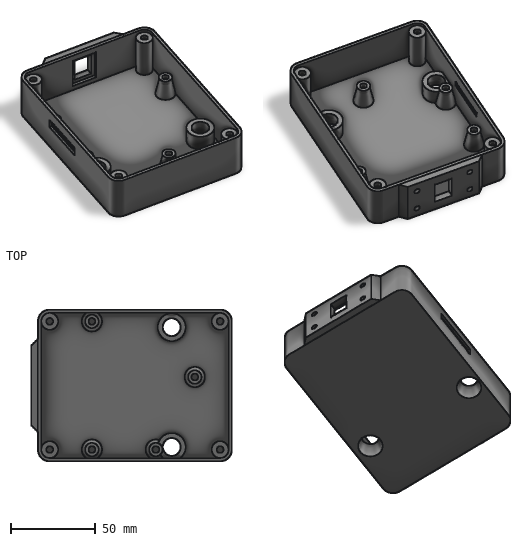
import cadquery as cq

OVERALL_LENGTH = 119.0
HOUSING_WIDTH = 90.0
HEIGHT = 28.0
WALL = 2.0
FLOOR = 1.0
CORNER_RADIUS = 7.0

BLOCK_THICKNESS = 4.0
BLOCK_BASE_WIDTH = 55.1
BLOCK_FACE_WIDTH = BLOCK_BASE_WIDTH - 2 * BLOCK_THICKNESS
WINDOW_WIDTH = 11.2
WINDOW_HEIGHT = 14.8
BLOCK_HOLE_DIAMETER = 3.5
BLOCK_HOLE_SPACING_Y = 34.9
BLOCK_HOLE_SPACING_Z = 15.0
WALL_OPENING_MARGIN = 2.4

POST_DIAMETER = 2 * (CORNER_RADIUS - WALL)
POST_DROP = 2.0
POST_TOP_Z = HEIGHT - POST_DROP
SCREW_HOLE_DIAMETER = 4.0

STANDOFF_BASE_DIAMETER = 12.0
STANDOFF_COLLAR_DIAMETER = 8.0
STANDOFF_CONE_TOP_Z = 11.0
STANDOFF_TOP_Z = 13.7
STANDOFF_LEFT_X = 36.0
STANDOFF_MIDDLE_X = 73.9
STANDOFF_RIGHT_X = 97.0
STANDOFF_RIGHT_Y = 5.0

BOSS_DIAMETER = 16.5
BOSS_HOLE_DIAMETER = 10.5
BOSS_TOP_Z = 11.0
BOSS_STRAIGHT_DEPTH = 4.0
BOSS_MOUTH_DIAMETER = 14.5
BOSS_X = 83.3
BOSS_YS = (-36.4, 34.5)

SLOT_X = 57.0
SLOT_Z = 17.7
SLOT_LENGTH = 30.0
SLOT_HEIGHT = 5.2
SLOT_BEVEL = 1.0
SLOT_INNER_LENGTH = SLOT_LENGTH - 2 * SLOT_BEVEL
SLOT_INNER_HEIGHT = SLOT_HEIGHT - 2 * SLOT_BEVEL

HOUSING_LENGTH = OVERALL_LENGTH - BLOCK_THICKNESS
HOUSING_LEFT_X = BLOCK_THICKNESS
HOUSING_CENTER_X = HOUSING_LEFT_X + HOUSING_LENGTH / 2
POST_XS = (HOUSING_LEFT_X + CORNER_RADIUS, OVERALL_LENGTH - CORNER_RADIUS)
POST_Y = HOUSING_WIDTH / 2 - CORNER_RADIUS
POST_POINTS = [(x, y) for x in POST_XS for y in (-POST_Y, POST_Y)]
BOSS_POINTS = [(BOSS_X, y) for y in BOSS_YS]
STANDOFF_POINTS = [
    (STANDOFF_LEFT_X, POST_Y),
    (STANDOFF_LEFT_X, -POST_Y),
    (STANDOFF_MIDDLE_X, -POST_Y),
    (STANDOFF_RIGHT_X, STANDOFF_RIGHT_Y),
]


def rounded_prism(inset, bottom_z, top_z):
    """The housing outline, moved inward by `inset` and extruded between two heights."""
    return (
        cq.Workplane("XY", origin=(HOUSING_CENTER_X, 0, bottom_z))
        .rect(HOUSING_LENGTH - 2 * inset, HOUSING_WIDTH - 2 * inset)
        .extrude(top_z - bottom_z)
        .edges("|Z")
        .fillet(CORNER_RADIUS - inset)
    )


def cylinders(points, diameter, bottom_z, top_z):
    """Upright cylinders at the given points, between two heights."""
    return (
        cq.Workplane("XY", origin=(0, 0, bottom_z))
        .pushPoints(points)
        .circle(diameter / 2)
        .extrude(top_z - bottom_z)
    )


def cone(point, bottom_diameter, top_diameter, bottom_z, top_z):
    """An upright truncated cone between two heights."""
    return (
        cq.Workplane("XY", origin=(*point, bottom_z))
        .circle(bottom_diameter / 2)
        .workplane(offset=top_z - bottom_z)
        .circle(top_diameter / 2)
        .loft()
    )


def standoff(point):
    """A conical foot on the floor with a cylindrical collar on top."""
    foot = cone(point, STANDOFF_BASE_DIAMETER, STANDOFF_COLLAR_DIAMETER, FLOOR, STANDOFF_CONE_TOP_Z)
    collar = cylinders([point], STANDOFF_COLLAR_DIAMETER, STANDOFF_CONE_TOP_Z, STANDOFF_TOP_Z)
    return foot.union(collar)


def boss_bore(point):
    """A straight hole at the top that widens as a cone down to the underside."""
    cone_top_z = BOSS_TOP_Z - BOSS_STRAIGHT_DEPTH
    straight = cylinders([point], BOSS_HOLE_DIAMETER, cone_top_z, BOSS_TOP_Z)
    return straight.union(cone(point, BOSS_MOUTH_DIAMETER, BOSS_HOLE_DIAMETER, 0, cone_top_z))


def card_slot():
    """A slot with a bevelled mouth on the outside of the -Y wall."""
    outside = cq.Workplane("XZ", origin=(SLOT_X, -HOUSING_WIDTH / 2, SLOT_Z))
    through = outside.rect(SLOT_INNER_LENGTH, SLOT_INNER_HEIGHT).extrude(-WALL)
    mouth = (
        outside.rect(SLOT_LENGTH, SLOT_HEIGHT)
        .workplane(offset=-SLOT_BEVEL)
        .rect(SLOT_INNER_LENGTH, SLOT_INNER_HEIGHT)
        .loft()
    )
    return through.union(mouth)


def wall_opening():
    """The opening in the -X wall behind the block's window, larger by a margin on every side."""
    return (
        cq.Workplane("YZ", origin=(HOUSING_LEFT_X, 0, HEIGHT / 2))
        .rect(WINDOW_WIDTH + 2 * WALL_OPENING_MARGIN, WINDOW_HEIGHT + 2 * WALL_OPENING_MARGIN)
        .extrude(WALL)
    )


def make_housing():
    """The tray with its posts, bosses, standoffs and openings."""
    outer = rounded_prism(0, 0, HEIGHT)
    housing = outer.cut(rounded_prism(WALL, FLOOR, HEIGHT))
    housing = housing.union(cylinders(POST_POINTS, POST_DIAMETER, FLOOR, POST_TOP_Z))
    housing = housing.union(cylinders(BOSS_POINTS, BOSS_DIAMETER, FLOOR, BOSS_TOP_Z))
    for point in STANDOFF_POINTS:
        housing = housing.union(standoff(point))
    housing = housing.cut(cylinders(POST_POINTS, SCREW_HOLE_DIAMETER, FLOOR, POST_TOP_Z))
    housing = housing.cut(cylinders(STANDOFF_POINTS, SCREW_HOLE_DIAMETER, FLOOR, STANDOFF_TOP_Z))
    for point in BOSS_POINTS:
        housing = housing.cut(boss_bore(point))
    return housing.cut(card_slot()).cut(wall_opening())


def make_mounting_block():
    """The full-height block on the -X wall, with bevelled ends, a window and four screw holes."""
    outline = [
        (0, -BLOCK_FACE_WIDTH / 2),
        (BLOCK_THICKNESS, -BLOCK_BASE_WIDTH / 2),
        (BLOCK_THICKNESS, BLOCK_BASE_WIDTH / 2),
        (0, BLOCK_FACE_WIDTH / 2),
    ]
    block = cq.Workplane("XY").polyline(outline).close().extrude(HEIGHT)
    face = cq.Workplane("YZ", origin=(0, 0, HEIGHT / 2))
    window = face.rect(WINDOW_WIDTH, WINDOW_HEIGHT).extrude(BLOCK_THICKNESS)
    holes = (
        face.rarray(BLOCK_HOLE_SPACING_Y, BLOCK_HOLE_SPACING_Z, 2, 2)
        .circle(BLOCK_HOLE_DIAMETER / 2)
        .extrude(BLOCK_THICKNESS)
    )
    return block.cut(window).cut(holes)


housing = make_housing()
mounting_block = make_mounting_block()
result = cq.Compound.makeCompound([housing.val(), mounting_block.val()])